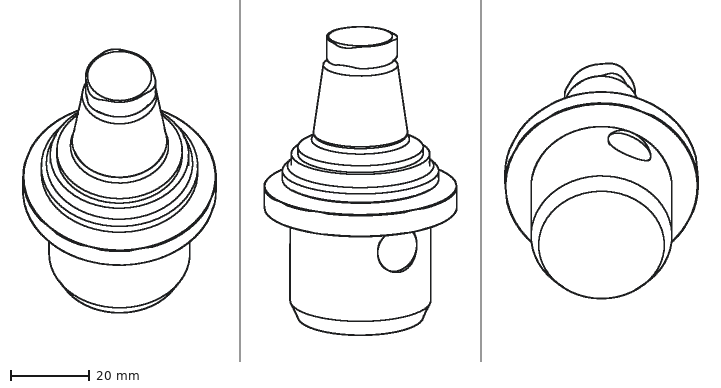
import cadquery as cq
import math

total_height = 75.0
body_chamfer_top = 4.35
flange_bottom = 29.0
flange_top = 34.95
groove_bottom = 35.7
collar_bottom = 36.75
collar_shoulder = 39.1
collar_top = 40.35
step_top = 43.6
cone_base = 45.4
cone_top = 47.4
taper_bottom = 49.2
taper_top = 67.35
nut_bottom = 68.55
lobe_bottom = 69.8

bottom_radius = 16.05
body_radius = 36.0 / 2
groove_radius = 38.1 / 2
collar_radius = 40.0 / 2
collar_top_radius = 18.7
step_radius = 35.4 / 2
cone_base_radius = 32.0 / 2
cone_top_radius = 12.5
undercut_radius = 11.7
taper_bottom_radius = 12.1
taper_top_radius = 9.5
neck_radius = 8.2

flange_chamfer = 0.2
body_relief = 0.2
body_relief_height = 0.45
groove_fillet = groove_bottom - flange_top
collar_undercut = 0.45
step_fillet = body_radius - step_radius
undercut_height = 0.6
neck_fillet = 0.5

flats_width = 49.0
flat_half_angle = 7.1
flange_radius = flats_width / 2 / math.cos(math.radians(flat_half_angle))
flat_angles = (0, 60, 90, 120, 180, 240, 270, 300)

lobe_count = 3
nut_core_radius = 8.6
nut_tip_radius = 9.45
lobe_radius = 4.35
lobe_center = nut_tip_radius - lobe_radius
blend_radius = 24.75
nut_top_radius = 8.2
nut_top_drop = 0.45

recess_diameter = 12.0
recess_height = 22.6
recess_floor = 16.9


def polar(radius, angle):
    return (radius * math.cos(angle), radius * math.sin(angle))


def turned_body():
    """Revolve everything except the flange and the nut."""
    profile = (
        cq.Workplane("XZ")
        .lineTo(bottom_radius, 0)
        .lineTo(body_radius, body_chamfer_top)
        .lineTo(body_radius, flange_bottom - body_relief_height)
        .lineTo(body_radius - body_relief, flange_bottom)
        .lineTo(body_radius - body_relief, flange_top)
        .lineTo(groove_radius + groove_fillet, flange_top)
        .radiusArc((groove_radius, groove_bottom), groove_fillet)
        .lineTo(groove_radius, collar_bottom - collar_undercut)
        .lineTo(collar_radius - collar_undercut, collar_bottom)
        .lineTo(collar_radius, collar_bottom)
        .lineTo(collar_radius, collar_shoulder)
        .lineTo(collar_top_radius, collar_top)
        .lineTo(step_radius + step_fillet, collar_top)
        .radiusArc((step_radius, collar_top + step_fillet), step_fillet)
        .lineTo(step_radius, step_top)
        .lineTo(cone_base_radius, step_top)
        .lineTo(cone_base_radius, cone_base)
        .lineTo(cone_top_radius, cone_top)
        .lineTo(undercut_radius, taper_bottom - undercut_height)
        .lineTo(taper_bottom_radius, taper_bottom)
        .lineTo(taper_top_radius, taper_top)
        .lineTo(neck_radius, nut_bottom)
        .lineTo(0, nut_bottom)
        .close()
    )
    return profile.revolve(360, (0, 0, 0), (0, 1, 0))


def flange():
    """Chamfered disc with flats cut around its rim."""
    height = flange_top - flange_bottom
    disc = (
        cq.Workplane("XY", origin=(0, 0, flange_bottom))
        .circle(flange_radius)
        .extrude(height)
        .edges()
        .chamfer(flange_chamfer)
    )
    for angle in flat_angles:
        cutter = (
            cq.Workplane("XY")
            .box(flange_radius, flats_width, height, centered=(False, True, False))
            .translate((flats_width / 2, 0, flange_bottom))
            .rotate((0, 0, 0), (0, 0, 1), angle)
        )
        disc = disc.cut(cutter)
    return disc


def nut():
    """Three convex lobes blended into a round core, trimmed by a turned envelope."""
    core_side = nut_core_radius + blend_radius
    lobe_side = lobe_radius + blend_radius
    cosine = (core_side**2 + lobe_center**2 - lobe_side**2) / (2 * core_side * lobe_center)
    core_angle = math.acos(cosine)
    blend_x, blend_y = polar(core_side, core_angle)
    lobe_angle = math.atan2(blend_y, blend_x - lobe_center)
    lobe_x, lobe_y = polar(lobe_radius, lobe_angle)
    lobe_end_radius = math.hypot(lobe_center + lobe_x, lobe_y)
    lobe_end_angle = math.atan2(lobe_y, lobe_center + lobe_x)
    pitch = 2 * math.pi / lobe_count

    outline = cq.Workplane("XY", origin=(0, 0, nut_bottom)).moveTo(*polar(nut_core_radius, -core_angle))
    for index in range(lobe_count):
        middle = index * pitch
        outline = (
            outline.radiusArc(polar(lobe_end_radius, middle - lobe_end_angle), blend_radius)
            .threePointArc(polar(nut_tip_radius, middle), polar(lobe_end_radius, middle + lobe_end_angle))
            .radiusArc(polar(nut_core_radius, middle + core_angle), blend_radius)
            .threePointArc(
                polar(nut_core_radius, middle + pitch / 2),
                polar(nut_core_radius, middle + pitch - core_angle),
            )
        )
    lobed = outline.close().extrude(total_height - nut_bottom)

    envelope = (
        cq.Workplane("XZ")
        .moveTo(0, nut_bottom)
        .lineTo(neck_radius, nut_bottom)
        .lineTo(nut_tip_radius, lobe_bottom)
        .lineTo(nut_tip_radius, total_height - nut_top_drop)
        .lineTo(nut_top_radius, total_height)
        .lineTo(0, total_height)
        .close()
        .revolve(360, (0, 0, 0), (0, 1, 0))
    )
    return lobed.intersect(envelope)


def side_recess(direction):
    """Shallow flat-floored round pocket on the +X or -X side."""
    return (
        cq.Workplane("YZ", origin=(direction * recess_floor, 0, recess_height))
        .circle(recess_diameter / 2)
        .extrude(direction * (body_radius - recess_floor))
    )


def round_neck(part):
    """Round the root of the V-shaped neck between taper and nut."""
    root = cq.selectors.BoxSelector(
        (-neck_radius, -neck_radius, nut_bottom - neck_fillet / 2),
        (neck_radius, neck_radius, nut_bottom + neck_fillet / 2),
    )
    return part.edges(root).fillet(neck_fillet)


result = round_neck(turned_body().union(flange()).union(nut()))
for direction in (-1, 1):
    result = result.cut(side_recess(direction))